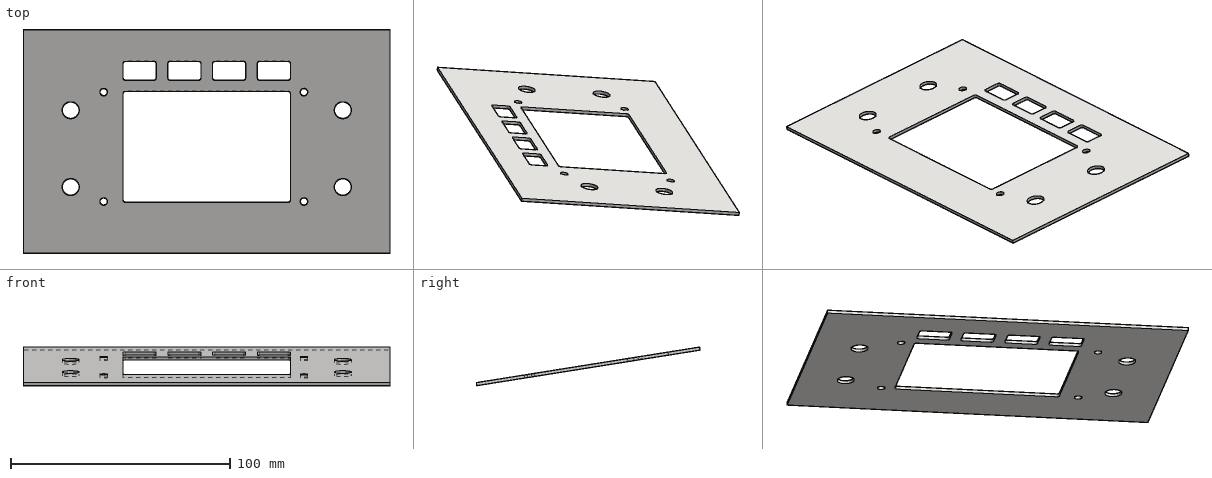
import cadquery as cq

panel_width = 167.2
panel_length = 103.2
panel_thickness = 1.5
tilt_angle = 9.05

window_width = 76.2
window_length = 51.2
window_center_y = -2.5
corner_radius = 1.0

button_count = 4
button_width = 15.0
button_length = 8.7
button_center_y = 32.6
button_pitch = (window_width - button_width) / (button_count - 1)

screw_diameter = 3.3
screw_spacing_x = 91.3
screw_center_x = -1.3
screw_spacing_y = 50.5

control_diameter = 7.7
control_spacing_x = 124.0
control_spacing_y = 35.5
control_center_y = -3.3


def rounded_opening(center_x, center_y, width, length):
    """Solid that cuts a rounded rectangle through the panel."""
    block = cq.Workplane("XY").center(center_x, center_y).rect(width, length).extrude(panel_thickness)
    return block.edges("|Z").fillet(corner_radius)


def four_holes(center_x, center_y, spacing_x, spacing_y, diameter):
    """Solids that cut a rectangle of four round holes through the panel."""
    pattern = cq.Workplane("XY").center(center_x, center_y)
    corners = pattern.rect(spacing_x, spacing_y, forConstruction=True)
    return corners.vertices().circle(diameter / 2).extrude(panel_thickness)


panel = cq.Workplane("XY").rect(panel_width, panel_length).extrude(panel_thickness)

panel = panel.cut(rounded_opening(0, window_center_y, window_width, window_length))
for index in range(button_count):
    button_x = (index - (button_count - 1) / 2) * button_pitch
    panel = panel.cut(rounded_opening(button_x, button_center_y, button_width, button_length))

screw_holes = four_holes(screw_center_x, window_center_y, screw_spacing_x, screw_spacing_y, screw_diameter)
panel = panel.cut(screw_holes)
panel = panel.cut(four_holes(0, control_center_y, control_spacing_x, control_spacing_y, control_diameter))

result = panel.rotate((0, 0, 0), (1, 0, 0), tilt_angle)